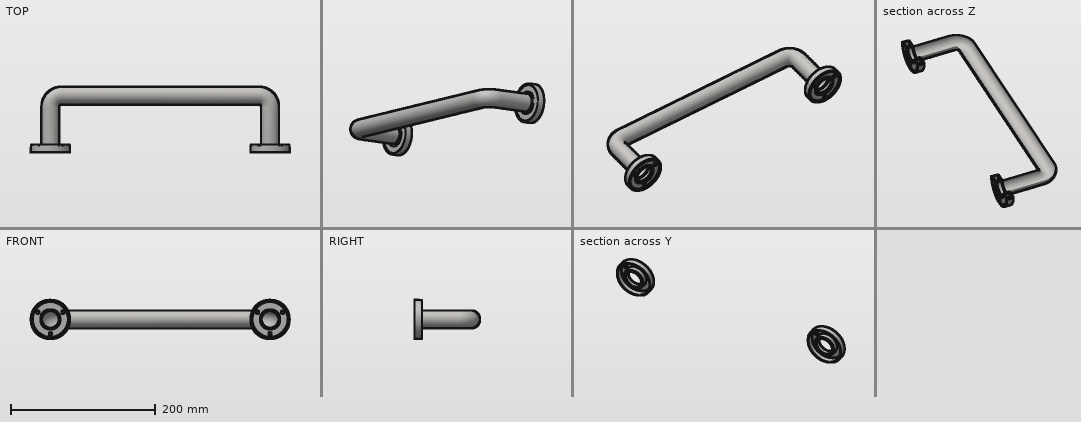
import cadquery as cq
import math

COVER_DIAMETER = 54.62
OVERALL_LENGTH = 359.42
PROJECTION = 91.33

TUBE_DIAMETER = 25.4
TUBE_WALL = 1.0
BEND_RADIUS = 15.24

PLATE_DIAMETER = 49.0
PLATE_THICKNESS = 1.5
COLLAR_DIAMETER = 31.75
BORE_CHAMFER = 2.3
SCREW_HOLE_DIAMETER = 4.4
SCREW_CIRCLE_RADIUS = 20.0
SCREW_ANGLES = (30, 150, 270)

COVER_HEIGHT = 10.9
COVER_TOP_THICKNESS = 1.5
COVER_CAVITY_DIAMETER = 50.0
COVER_EDGE_RADIUS = 2.2
COVER_STRAIGHT_HEIGHT = 5.5
COVER_TAPER = 0.15

POST_SPACING = OVERALL_LENGTH - COVER_DIAMETER
POST_X = POST_SPACING / 2
TUBE_RADIUS = TUBE_DIAMETER / 2
BORE_RADIUS = TUBE_RADIUS - TUBE_WALL
BAR_Y = PROJECTION - TUBE_RADIUS
COVER_RADIUS = COVER_DIAMETER / 2
COVER_CAVITY_HEIGHT = COVER_HEIGHT - COVER_TOP_THICKNESS
TUBE_START_Y = COVER_CAVITY_HEIGHT


def make_tube():
    """U-shaped round tube: two posts joined to the bar by tight bends."""
    bend_offset = BEND_RADIUS * (1 - math.sqrt(0.5))
    path = (
        cq.Workplane("XY")
        .moveTo(-POST_X, TUBE_START_Y)
        .lineTo(-POST_X, BAR_Y - BEND_RADIUS)
        .threePointArc(
            (-POST_X + bend_offset, BAR_Y - bend_offset),
            (-POST_X + BEND_RADIUS, BAR_Y),
        )
        .lineTo(POST_X - BEND_RADIUS, BAR_Y)
        .threePointArc(
            (POST_X - bend_offset, BAR_Y - bend_offset),
            (POST_X, BAR_Y - BEND_RADIUS),
        )
        .lineTo(POST_X, TUBE_START_Y)
    )
    return (
        cq.Workplane("XZ", origin=(-POST_X, TUBE_START_Y, 0))
        .circle(TUBE_RADIUS)
        .circle(BORE_RADIUS)
        .sweep(path)
    )


def revolve_about_post(profile, post_x):
    """Spin a (radius, Y) profile about the post axis and place it on the post."""
    return (
        cq.Workplane("XY")
        .polyline(profile)
        .close()
        .revolve(360, (0, 0, 0), (0, 1, 0))
        .translate((post_x, 0, 0))
    )


def make_mounting_plate(post_x):
    """Disc with a collar that carries the tube, a bevelled bore and three screw holes."""
    profile = [
        (BORE_RADIUS + BORE_CHAMFER, 0),
        (PLATE_DIAMETER / 2, 0),
        (PLATE_DIAMETER / 2, PLATE_THICKNESS),
        (COLLAR_DIAMETER / 2, PLATE_THICKNESS),
        (COLLAR_DIAMETER / 2, TUBE_START_Y),
        (BORE_RADIUS, TUBE_START_Y),
        (BORE_RADIUS, BORE_CHAMFER),
    ]
    plate = revolve_about_post(profile, post_x)
    for angle in SCREW_ANGLES:
        x = post_x + SCREW_CIRCLE_RADIUS * math.cos(math.radians(angle))
        z = SCREW_CIRCLE_RADIUS * math.sin(math.radians(angle))
        hole = (
            cq.Workplane("XZ", origin=(x, 0, z))
            .circle(SCREW_HOLE_DIAMETER / 2)
            .extrude(-PLATE_THICKNESS)
        )
        plate = plate.cut(hole)
    return plate


def make_cover(post_x):
    """Cup around the tube that hides the mounting plate and its collar."""
    cavity_radius = COVER_CAVITY_DIAMETER / 2
    profile = [
        (cavity_radius, 0),
        (COVER_RADIUS, 0),
        (COVER_RADIUS, COVER_STRAIGHT_HEIGHT),
        (COVER_RADIUS - COVER_TAPER, COVER_HEIGHT),
        (TUBE_RADIUS, COVER_HEIGHT),
        (TUBE_RADIUS, COVER_CAVITY_HEIGHT),
        (cavity_radius, COVER_CAVITY_HEIGHT),
    ]
    cup = revolve_about_post(profile, post_x)
    top_rim = cq.selectors.RadiusNthSelector(-1)
    return cup.faces(">Y").edges(top_rim).fillet(COVER_EDGE_RADIUS)


tube = make_tube()
bodies = [tube.val()]
for side in (-1, 1):
    bodies.append(make_mounting_plate(side * POST_X).val())
    bodies.append(make_cover(side * POST_X).val())

result = cq.Compound.makeCompound(bodies)